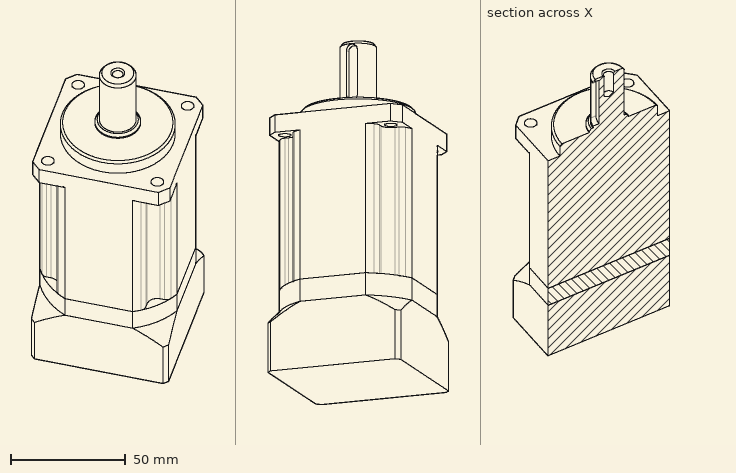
import cadquery as cq
import math


width = 62.0
total_height = 151.5

ring_bottom = 30.0
body_bottom = 40.0
flange_bottom = 107.1
flange_top = 115.0
pilot_top = 121.7
collar_top = 123.5

corner_radius = 34.5
adapter_chamfer = 2.0
flange_chamfer = 4.1

notch_wall = 20.0
notch_inner_radius = 4.7
notch_outer_radius = 3.0

bolt_offset = 24.7
bolt_hole_diameter = 5.5

pilot_radius = 25.0
pilot_chamfer = 1.0
collar_radius = 10.0
collar_chamfer_width = 1.0
collar_chamfer_height = 1.2
shaft_radius = 8.0
shaft_chamfer_width = 1.0
shaft_chamfer_height = 1.4

centre_hole_radius = 2.3
countersink_radius = 3.0
countersink_depth = 0.8
centre_hole_depth = 12.1
drill_point_angle = 118.0

keyway_width = 5.0
keyway_depth = 3.0
keyway_bottom = 124.5
keyway_top = 149.8


def square_block(bottom, top):
    """Square prism on the gearbox axis between two levels."""
    return cq.Workplane("XY").workplane(offset=bottom).rect(width, width).extrude(top - bottom)


def rounded_block(bottom, top):
    """Square prism whose corners are trimmed by the coaxial corner cylinder."""
    cylinder = cq.Workplane("XY").workplane(offset=bottom).circle(corner_radius).extrude(top - bottom)
    return square_block(bottom, top).intersect(cylinder).solids()


def make_adapter():
    """Input adapter: chamfered block whose upper corners run in a 45 degree cone up to the ring gear."""
    block = square_block(0, ring_bottom).edges("|Z").chamfer(adapter_chamfer)
    cone = cq.Workplane(obj=cq.Solid.makeCone(corner_radius + ring_bottom, corner_radius, ring_bottom))
    return block.intersect(cone).solids()


def make_ring_gear():
    """Ring gear section between the adapter and the housing."""
    return rounded_block(ring_bottom, body_bottom)


def make_body():
    """Housing body with a rounded bolt clearance notch along each corner."""
    height = flange_bottom - body_bottom
    body = rounded_block(body_bottom, flange_bottom)
    notch_size = width / 2
    notch_centre = notch_wall + notch_size / 2
    notch = (
        cq.Workplane("XY")
        .workplane(offset=body_bottom)
        .center(notch_centre, notch_centre)
        .rect(notch_size, notch_size)
        .extrude(height)
        .edges("|Z and <X and <Y")
        .fillet(notch_inner_radius)
    )
    for quarter in range(4):
        body = body.cut(notch.rotate((0, 0, 0), (0, 0, 1), 90 * quarter))

    lip_far = math.sqrt(corner_radius**2 - notch_wall**2)
    lips = cq.Workplane("XY")
    middle = (body_bottom + flange_bottom) / 2
    for x_sign in (-1, 1):
        for y_sign in (-1, 1):
            for x, y in ((notch_wall, lip_far), (lip_far, notch_wall)):
                point = (x_sign * x, y_sign * y, middle)
                lips = lips.add(body.edges(cq.selectors.NearestToPointSelector(point)))
    return body.newObject([body.val().fillet(notch_outer_radius, lips.vals())])


def make_flange():
    """Square mounting flange with chamfered corners and four bolt holes."""
    return (
        square_block(flange_bottom, flange_top)
        .edges("|Z")
        .chamfer(flange_chamfer)
        .faces(">Z")
        .workplane(origin=(0, 0, 0))
        .rect(2 * bolt_offset, 2 * bolt_offset, forConstruction=True)
        .vertices()
        .hole(bolt_hole_diameter)
    )


def make_output_end():
    """Pilot, collar and shaft turned as one profile."""
    return (
        cq.Workplane("XZ")
        .moveTo(0, flange_top)
        .lineTo(pilot_radius, flange_top)
        .lineTo(pilot_radius, pilot_top - pilot_chamfer)
        .lineTo(pilot_radius - pilot_chamfer, pilot_top)
        .lineTo(collar_radius, pilot_top)
        .lineTo(collar_radius, collar_top - collar_chamfer_height)
        .lineTo(collar_radius - collar_chamfer_width, collar_top)
        .lineTo(shaft_radius, collar_top)
        .lineTo(shaft_radius, total_height - shaft_chamfer_height)
        .lineTo(shaft_radius - shaft_chamfer_width, total_height)
        .lineTo(0, total_height)
        .close()
        .revolve(360, (0, 0), (0, 1))
    )


def make_centre_hole():
    """Cutter for the countersunk blind hole with a drill point in the shaft end."""
    hole_bottom = total_height - centre_hole_depth
    point_length = centre_hole_radius / math.tan(math.radians(drill_point_angle / 2))
    return (
        cq.Workplane("XZ")
        .moveTo(0, total_height)
        .lineTo(countersink_radius, total_height)
        .lineTo(centre_hole_radius, total_height - countersink_depth)
        .lineTo(centre_hole_radius, hole_bottom)
        .lineTo(0, hole_bottom - point_length)
        .close()
        .revolve(360, (0, 0), (0, 1))
    )


def make_keyway():
    """Cutter for the round-ended keyway in the +Y side of the shaft."""
    return (
        cq.Workplane("XZ", origin=(0, shaft_radius, (keyway_bottom + keyway_top) / 2))
        .slot2D(keyway_top - keyway_bottom, keyway_width, 90)
        .extrude(keyway_depth)
    )


def make_housing():
    """Housing: notched body, mounting flange and output end with its shaft details."""
    housing = make_body().union(make_flange()).union(make_output_end())
    return housing.cut(make_centre_hole()).cut(make_keyway()).solids()


adapter = make_adapter()
ring_gear = make_ring_gear()
housing = make_housing()

result = cq.Compound.makeCompound([adapter.val(), ring_gear.val(), housing.val()])